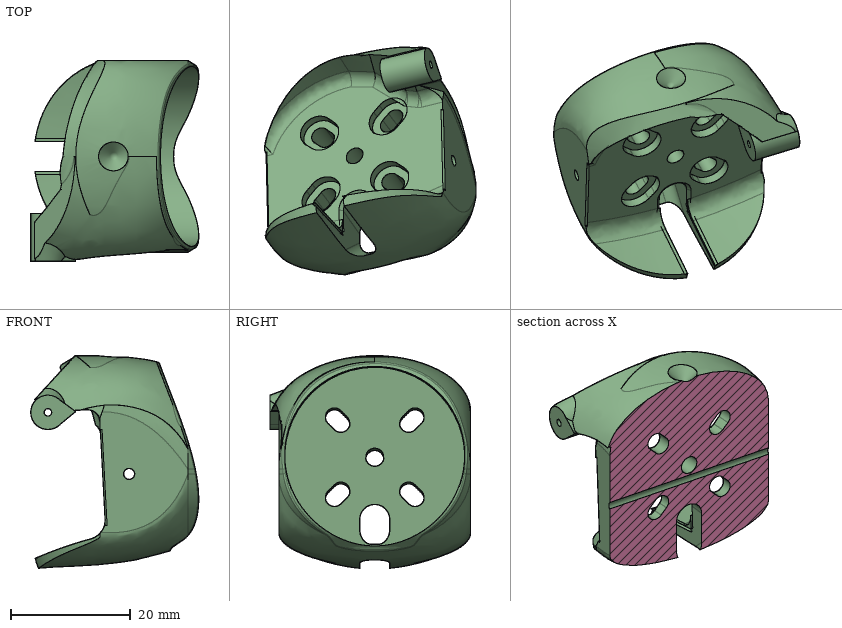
import cadquery as cq
import math

HALF_WIDTH = 16.0
TILT = 3.0
PLATE_X = -4.55
PLATE_THICKNESS = 7.7
PLATE_BEVEL = 0.3
PLATE_BEVEL_TOP_Z = 5.0
PLATE_BEVEL_BOTTOM_Z = -11.0
FAR = 40.0

SHELL_SECTIONS = [
    (-17.0, 17.3, 7.3, -9.7, -18.5),
    (-9.0, 17.35, 7.4, -11.6, -17.85),
    (0.0, 17.05, 7.2, -11.9, -16.95),
    (5.0, 16.2, 4.1, -9.6, -15.8),
    (9.8, 13.7, -1.6, -2.4, -14.2),
]
SHELL_END = (12.5, 12.4, -1.6, -2.4, -13.5)
SHELL_END_HALF_WIDTH = 14.3

BACK_CROWN = (5.0, 16.2)
BACK_CURVE = [
    (7.2, 10.4), (9.9, 2.8), (11.3, -3.0), (11.6, -7.3),
    (11.0, -10.6), (9.7, -12.8), (7.9, -14.1), (7.1, -14.7),
]
BACK_KEEL = (6.9, -15.6)
RIM_RADIUS = 0.4
RIM_MIDDLE = (9.5, 0, 0.4)

NOSE_AXIS_Z = 3.6
NOSE_TIP_X = -11.15
NOSE_TIP_RADIUS = 12.3
NOSE_LEAD = 7.0
NOSE_SLOPE = 0.644
NOSE_BOTTOM_Z = 2.0

VISOR_ROOT_Z = 15.6
VISOR_RISE = 0.12
VISOR_SIDE = (16.0, 6.0)
VISOR_MID = (9.6, 13.2)
RECESS_HALF_WIDTH = 20.0
ARM_ROOT_INNER = (-4.2, 14.3)
ARM_ROOT_OUTER = (-9.8, 9.2)
ARM_CORNER_WIDTH = 2.0
ARM_UNDERSIDE_Z = 8.4
ARM_INNER_DRIFT = -0.22
LIP_ROOT_Z = -14.6
LIP_DROP = 0.11
LIP_SAG = 3.1
RECESS_LENGTH = 14.0
VISOR_ROOT_RADIUS = 2.0
LIP_ROOT_RADIUS = 2.8

LIP_SLOPE = 20.0
LIP_RADIUS = 16.6
LIP_AXIS_DISTANCE = 4.0
LIP_TRIM_X = PLATE_X - 0.3
LIP_TRIM_TOP_Z = -8.0

HINGE_X = -13.54
HINGE_Z = 7.87
HINGE_RADIUS = 2.87
HINGE_PIN_DIAMETER = 1.2
HINGE_FACE_Y = -17.5
HINGE_LENGTH = 8.0
HINGE_WEB_LOWER = (HINGE_X + 2.0, HINGE_Z - 2.05)
HINGE_WEB_UPPER = (HINGE_X + 1.8, HINGE_Z + 2.2)
ARM_SECTIONS = [
    (-17.0, 18.2, 17.3, 1.2),
    (-9.0, 17.8, 17.35, 5.0),
    (-3.5, 17.0, 17.25, 6.8),
    (0.0, 16.6, 17.05, 7.0),
    (5.0, 16.3, 16.2, 4.1),
    (10.5, 16.05, 13.5, -2.0),
]
ARM_FRONT_TOP = (-8.8, 17.6)
ARM_FRONT_FOOT = (-15.75, 10.0)
ARM_NECK = (-8.9, 8.0)
ARM_LOWER_CURVE = [(-6.2, 8.75), (-3.5, 9.1), (0.95, 8.65), (4.5, 7.3), (8.1, 4.3), (9.9, 1.6)]
FAIRING_LENGTH = 3.5
FAIRING_RADIUS = 4.2

MOTOR_DIAMETER = 30.0
SHAFT_HOLE_DIAMETER = 3.0
SCREW_SLOT_WIDTH = 3.0
SCREW_ANGLES = (45, 135, 225, 315)
SCREW_INNER_RADIUS = 8.0
SCREW_OUTER_RADIUS = 9.5
SCREW_HEAD_WIDTH = 5.8
SCREW_HEAD_DEPTH = 1.5
SIDE_HOLE_DIAMETER = 1.8
SIDE_HOLE_Z = -2.39

SLOT_WIDTH = 4.95
SLOT_TOP_Z = -7.5
SLOT_END_X = 0.9
SLOT_END_Z = -16.8
SLOT_END_LEAN = 48.0
SLOT_CORNER = 1.9
SLOT_BEVEL = 0.55

DIMPLE_X = -2.5
DIMPLE_RADIUS = 2.43
DIMPLE_DEPTH = 2.4
DIMPLE_RIM_Z = 17.15


def tilted(work):
    """Lean a body made around the X axis so that it sits square to the plate."""
    return work.rotate((0, 0, 0), (0, 1, 0), -TILT).translate((PLATE_X, 0, 0))


def loft(wires, ruled=False):
    return cq.Workplane(obj=cq.Solid.makeLoft(wires, ruled))


def yz_wire(x, work_path):
    return work_path(cq.Workplane("YZ", origin=(x, 0, 0))).close().val()


def shell_section(half_width, x, crown, upper, lower, keel):
    return yz_wire(x, lambda path: (
        path.moveTo(half_width, lower)
        .lineTo(half_width, upper)
        .ellipseArc(half_width, crown - upper, 0, 180)
        .lineTo(-half_width, lower)
        .ellipseArc(half_width, lower - keel, 180, 360)
    ))


def shell():
    sections = [shell_section(HALF_WIDTH, *values) for values in SHELL_SECTIONS]
    end = shell_section(SHELL_END_HALF_WIDTH, *SHELL_END)
    whole = loft(sections).union(loft([sections[-1], end])).cut(behind_back_opening())
    rim = whole.faces(cq.selectors.NearestToPointSelector(RIM_MIDDLE)).edges()
    return rim.fillet(RIM_RADIUS)


def behind_back_opening():
    return (
        cq.Workplane("XZ", origin=(0, FAR, 0))
        .moveTo(BACK_CROWN[0], FAR)
        .lineTo(*BACK_CROWN)
        .spline(BACK_CURVE + [BACK_KEEL], includeCurrent=True)
        .lineTo(BACK_KEEL[0], -FAR)
        .lineTo(FAR, -FAR)
        .lineTo(FAR, FAR)
        .close()
        .extrude(2 * FAR)
    )


def outside_nose():
    start_x = NOSE_TIP_X - NOSE_LEAD
    start_radius = NOSE_TIP_RADIUS - NOSE_LEAD * NOSE_SLOPE
    cone = cq.Workplane(obj=cq.Solid.makeCone(
        start_radius, start_radius + FAR * NOSE_SLOPE, FAR,
        cq.Vector(start_x, 0, NOSE_AXIS_Z), cq.Vector(1, 0, 0)))
    block = cq.Workplane().box(FAR / 2, 2 * FAR, FAR, centered=(False, True, False))
    return block.translate((start_x, 0, NOSE_BOTTOM_Z)).cut(cone)


def front_recess():
    def section(forward):
        rise = forward * VISOR_RISE
        drop = forward * LIP_DROP
        drift = forward * ARM_INNER_DRIFT
        lip_side = LIP_ROOT_Z + LIP_SAG - drop
        inner = (ARM_ROOT_INNER[0] + drift, ARM_ROOT_INNER[1] + rise)
        outer = (ARM_ROOT_OUTER[0] + drift, ARM_ROOT_OUTER[1])
        return yz_wire(-forward, lambda path: (
            path.moveTo(RECESS_HALF_WIDTH, lip_side)
            .lineTo(RECESS_HALF_WIDTH, VISOR_SIDE[1] + rise)
            .lineTo(VISOR_SIDE[0], VISOR_SIDE[1] + rise)
            .threePointArc((VISOR_MID[0], VISOR_MID[1] + rise), (0, VISOR_ROOT_Z + rise))
            .lineTo(*inner)
            .lineTo(*outer)
            .lineTo(outer[0] - ARM_CORNER_WIDTH, ARM_UNDERSIDE_Z)
            .lineTo(-RECESS_HALF_WIDTH, ARM_UNDERSIDE_Z)
            .lineTo(-RECESS_HALF_WIDTH, lip_side)
            .threePointArc((0, LIP_ROOT_Z - drop), (RECESS_HALF_WIDTH, lip_side))
        ))

    recess = loft([section(0), section(RECESS_LENGTH)], ruled=True)
    recess = recess.faces(">X").edges("<Z").fillet(LIP_ROOT_RADIUS)
    visor_reach = cq.selectors.BoxSelector((-1, -FAR, VISOR_SIDE[1] / 2), (1, FAR, FAR))
    recess = recess.faces(">X").edges(visor_reach).fillet(VISOR_ROOT_RADIUS)
    return tilted(recess)


def beyond_lip():
    angle = math.radians(LIP_SLOPE)
    axis = cq.Vector(math.sin(angle), 0, -math.cos(angle))
    foot = cq.Vector(-LIP_AXIS_DISTANCE * math.cos(angle), 0, -LIP_AXIS_DISTANCE * math.sin(angle))
    disc = cq.Workplane(obj=cq.Solid.makeCylinder(LIP_RADIUS, FAR, foot, axis))
    block = cq.Workplane().box(FAR, 2 * FAR, FAR, centered=(False, True, False))
    return block.translate((LIP_TRIM_X - FAR, 0, LIP_TRIM_TOP_Z - FAR)).cut(disc)


def arm_profile():
    return (
        cq.Workplane("XZ")
        .moveTo(*ARM_NECK)
        .spline(ARM_LOWER_CURVE, includeCurrent=True)
        .lineTo(ARM_LOWER_CURVE[-1][0], ARM_FRONT_TOP[1])
        .lineTo(*ARM_FRONT_TOP)
        .lineTo(*ARM_FRONT_FOOT)
        .lineTo(HINGE_X, HINGE_Z)
        .lineTo(*HINGE_WEB_LOWER)
        .close()
        .extrude(-HINGE_FACE_Y)
    )


def arm():
    def section(x, half_width, crown, side_z):
        return yz_wire(x, lambda path: (
            path.moveTo(0, side_z)
            .lineTo(0, crown)
            .ellipseArc(half_width, crown - side_z, 90, 180)
        ))

    outer = loft([section(*values) for values in ARM_SECTIONS])
    inside_rim = behind_back_opening().translate((-RIM_RADIUS, 0, 0))
    return outer.intersect(arm_profile()).cut(inside_rim)


def hinge():
    barrel = (
        cq.Workplane("XZ", origin=(HINGE_X, HINGE_FACE_Y, HINGE_Z))
        .circle(HINGE_RADIUS)
        .extrude(-HINGE_LENGTH)
    )
    fairing = cq.Workplane(obj=cq.Solid.makeCone(
        HINGE_RADIUS, FAIRING_RADIUS, FAIRING_LENGTH,
        cq.Vector(HINGE_X, HINGE_FACE_Y, HINGE_Z), cq.Vector(0, 1, 0)))
    web = (
        cq.Workplane("XZ", origin=(0, HINGE_FACE_Y, 0))
        .polyline([(HINGE_X, HINGE_Z), HINGE_WEB_LOWER, ARM_NECK, HINGE_WEB_UPPER])
        .close()
        .extrude(-HINGE_LENGTH)
    )
    return barrel.union(web).union(fairing.intersect(arm_profile()))


def hinge_pin_hole():
    return (
        cq.Workplane("XZ", origin=(HINGE_X, HINGE_FACE_Y, HINGE_Z))
        .circle(HINGE_PIN_DIAMETER / 2)
        .extrude(-HINGE_LENGTH)
    )


def motor_pocket():
    return tilted(
        cq.Workplane("YZ", origin=(PLATE_THICKNESS, 0, 0)).circle(MOTOR_DIAMETER / 2).extrude(FAR)
    )


def screw_holes():
    def slots(width, depth):
        travel = SCREW_OUTER_RADIUS - SCREW_INNER_RADIUS
        middle = (SCREW_OUTER_RADIUS + SCREW_INNER_RADIUS) / 2
        first = cq.Workplane("YZ").center(middle, 0).slot2D(travel + width, width).extrude(depth)
        pattern = cq.Workplane()
        for angle in SCREW_ANGLES:
            pattern = pattern.add(first.rotate((0, 0, 0), (1, 0, 0), angle))
        return pattern.combine()

    holes = slots(SCREW_SLOT_WIDTH, 2 * PLATE_THICKNESS)
    heads = slots(SCREW_HEAD_WIDTH, SCREW_HEAD_DEPTH)
    shaft = cq.Workplane("YZ").circle(SHAFT_HOLE_DIAMETER / 2).extrude(2 * PLATE_THICKNESS)
    return tilted(holes.union(heads).union(shaft))


def lower_slot():
    radius = SLOT_WIDTH / 2
    arch_z = SLOT_TOP_Z - radius
    arch = cq.Workplane("YZ", origin=(-FAR, 0, arch_z)).circle(radius).extrude(2 * FAR)
    leg = cq.Workplane().box(2 * FAR, SLOT_WIDTH, FAR, centered=(True, True, False))
    leg = leg.translate((0, 0, arch_z - FAR))
    end = (
        cq.Workplane().box(FAR, SLOT_WIDTH, 2 * FAR)
        .edges("|Z and >X").fillet(SLOT_CORNER)
        .translate((-FAR / 2, 0, 0))
        .rotate((0, 0, 0), (0, 1, 0), SLOT_END_LEAN)
        .translate((SLOT_END_X, 0, SLOT_END_Z))
    )
    return arch.union(leg).intersect(end)


def slot_bevels():
    radius = SLOT_WIDTH / 2 + SLOT_BEVEL
    arch_z = SLOT_TOP_Z - SLOT_WIDTH / 2
    plate_mouth = (
        cq.Workplane("YZ")
        .moveTo(radius, LIP_ROOT_Z)
        .lineTo(radius, arch_z)
        .threePointArc((0, arch_z + radius), (-radius, arch_z))
        .lineTo(-radius, LIP_ROOT_Z)
        .close()
        .extrude(SLOT_BEVEL, taper=45)
    )
    lip_mouth = (
        cq.Workplane("YZ")
        .polyline([(-radius, 0), (radius, 0), (0, -radius)])
        .close()
        .extrude(-FAR)
        .rotate((0, 0, 0), (0, 1, 0), -math.degrees(math.atan(LIP_DROP)))
        .translate((0, 0, LIP_ROOT_Z))
    )
    return tilted(plate_mouth.union(lip_mouth))


def plate_side_bevels():
    width = PLATE_BEVEL * math.sqrt(2)
    length = PLATE_BEVEL_TOP_Z - PLATE_BEVEL_BOTTOM_Z
    bar = cq.Workplane().box(width, width, length).rotate((0, 0, 0), (0, 0, 1), 45)
    bar = bar.translate((0, HALF_WIDTH, (PLATE_BEVEL_TOP_Z + PLATE_BEVEL_BOTTOM_Z) / 2))
    return tilted(bar.union(bar.mirror("XZ")))


def side_hole():
    return (
        cq.Workplane("XZ", origin=(0, FAR, SIDE_HOLE_Z))
        .circle(SIDE_HOLE_DIAMETER / 2)
        .extrude(2 * FAR)
    )


def dimple():
    return cq.Workplane(obj=cq.Solid.makeCone(
        0, 2 * DIMPLE_RADIUS, 2 * DIMPLE_DEPTH,
        cq.Vector(DIMPLE_X, 0, DIMPLE_RIM_Z - DIMPLE_DEPTH), cq.Vector(0, 0, 1)))


recess = front_recess()
body = shell().cut(outside_nose()).cut(recess).cut(beyond_lip())
body = body.union(arm().cut(recess)).union(hinge())
body = body.cut(motor_pocket()).cut(lower_slot())
body = body.cut(slot_bevels()).cut(plate_side_bevels()).cut(screw_holes())
result = body.cut(side_hole()).cut(hinge_pin_hole()).cut(dimple())